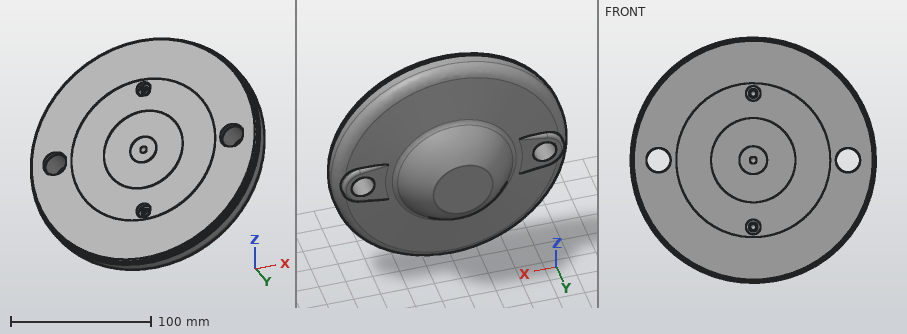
import cadquery as cq
import math


plate_radius = 86.5
plate_thickness = 4.0
plate_chamfer = 1.2
step_depth = 0.5
outer_recess_radius = 55.0
raised_pad_radius = 30.1
centre_recess_radius = 10.0
dimple_radius = 2.5

cover_radius = 87.5
cover_back = 49.0
rim_chamfer = 0.7
shoulder_fillet = 9.1
cone_foot_y = 19.8
cone_slope = 9.5
dome_sphere_radius = 49.0
dome_sphere_y = 5.2
dome_foot_fillet = 4.5
dome_top_fillet = 1.0

mount_offset = 67.5
mount_plate_hole_radius = 8.8
mount_cover_hole_radius = 8.5
lug_radius = 15.0
lug_top = 25.9
lug_flare = 8.5
lug_inner_x = 35.0
lug_fillet = 2.6

screw_offset = 47.6
screw_boss_radius = 8.8
screw_boss_end = 7.9
screw_head_radius = 5.2
screw_head_depth = 4.5
screw_clearance_radius = 3.2
screw_pilot_radius = 2.3
screw_pilot_depth = 7.0

drill_point_angle = 120.0

mount_places = [(-mount_offset, 0), (mount_offset, 0)]
screw_places = [(0, -screw_offset), (0, screw_offset)]


def disc(radius, start, end, x=0, z=0):
    """A cylinder along Y from start to end."""
    return cq.Workplane("XZ", origin=(x, start, z)).circle(radius).extrude(start - end)


def drill_point(radius, start, x=0, z=0):
    """A cone that narrows from the given radius at start to a point further along +Y."""
    depth = radius / math.tan(math.radians(drill_point_angle / 2))
    cone = cq.Solid.makeCone(radius, 0, depth, pnt=cq.Vector(x, start, z), dir=cq.Vector(0, 1, 0))
    return cq.Workplane(cone)


def drill(body, radius, start, end, places):
    """Cut a straight hole at each place."""
    for x, z in places:
        body = body.cut(disc(radius, start, end, x, z))
    return body


def make_plate():
    plate = disc(plate_radius, 0, plate_thickness).faces("<Y").edges().chamfer(plate_chamfer)

    ring = disc(outer_recess_radius, 0, step_depth).cut(disc(raised_pad_radius, 0, step_depth))
    plate = plate.cut(ring).cut(disc(centre_recess_radius, 0, step_depth))

    plate = plate.cut(drill_point(dimple_radius, step_depth))

    for x, z in screw_places:
        plate = plate.union(disc(screw_boss_radius, plate_thickness, screw_boss_end, x, z))
    plate = drill(plate, screw_head_radius, 0, screw_head_depth, screw_places)
    plate = drill(plate, screw_clearance_radius, screw_head_depth, screw_boss_end, screw_places)
    return drill(plate, mount_plate_hole_radius, 0, plate_thickness, mount_places)


def sphere_radius_at(y):
    """Radius of the dome's spherical surface about the Y axis at the given Y."""
    return math.sqrt(dome_sphere_radius**2 - (y - dome_sphere_y) ** 2)


def make_shell():
    """The round body of the cover: rim, shallow cone and domed hub."""
    slope = math.tan(math.radians(cone_slope))
    rise = cone_foot_y + cover_radius * slope - dome_sphere_y
    square_term = 1 + slope**2
    root = math.sqrt((rise * slope) ** 2 - square_term * (rise**2 - dome_sphere_radius**2))
    foot_radius = (rise * slope + root) / square_term
    foot_y = dome_sphere_y + rise - slope * foot_radius
    middle_y = (foot_y + cover_back) / 2
    shell = (
        cq.Workplane("YZ")
        .moveTo(plate_thickness, 0)
        .lineTo(plate_thickness, cover_radius - rim_chamfer)
        .lineTo(plate_thickness + rim_chamfer, cover_radius)
        .lineTo(cone_foot_y, cover_radius)
        .lineTo(foot_y, foot_radius)
        .threePointArc((middle_y, sphere_radius_at(middle_y)), (cover_back, sphere_radius_at(cover_back)))
        .lineTo(cover_back, 0)
        .close()
        .revolve(360, (0, 0, 0), (1, 0, 0))
    )

    def edge_at(y):
        """Picks the circular edge that lies in the plane at the given Y."""
        margin = 0.09
        reach = 2 * cover_radius
        return cq.selectors.BoxSelector((-reach, y - margin, -reach), (reach, y + margin, reach))

    shell = shell.edges("%CIRCLE").edges(edge_at(cone_foot_y)).fillet(shoulder_fillet)
    shell = shell.edges("%CIRCLE").edges(edge_at(foot_y)).fillet(dome_foot_fillet)
    return shell.faces(">Y").edges().fillet(dome_top_fillet)


def make_lug(side):
    """A round-ended lug whose sides flare towards the hub; side is -1 or 1."""
    flare = math.radians(lug_flare)
    tangent_x = mount_offset + lug_radius * math.sin(flare)
    tangent_z = lug_radius * math.cos(flare)
    inner_z = tangent_z + (tangent_x - lug_inner_x) * math.tan(flare)
    return (
        cq.Workplane("XZ", origin=(0, plate_thickness + rim_chamfer, 0))
        .moveTo(side * lug_inner_x, -inner_z)
        .lineTo(side * tangent_x, -tangent_z)
        .threePointArc((side * (mount_offset + lug_radius), 0), (side * tangent_x, tangent_z))
        .lineTo(side * lug_inner_x, inner_z)
        .close()
        .extrude(plate_thickness + rim_chamfer - lug_top)
        .faces(">Y")
        .edges()
        .fillet(lug_fillet)
    )


def make_cover():
    cover = make_shell()
    for side in (-1, 1):
        cover = cover.union(make_lug(side))
    cover = drill(cover, mount_cover_hole_radius, plate_thickness, cover_back, mount_places)

    pilot_end = screw_boss_end + screw_pilot_depth
    cover = drill(cover, screw_boss_radius, plate_thickness, screw_boss_end, screw_places)
    cover = drill(cover, screw_pilot_radius, screw_boss_end, pilot_end, screw_places)
    for x, z in screw_places:
        cover = cover.cut(drill_point(screw_pilot_radius, pilot_end, x, z))
    return cover


plate = make_plate()
cover = make_cover()
result = cq.Compound.makeCompound([plate.val(), cover.val()])